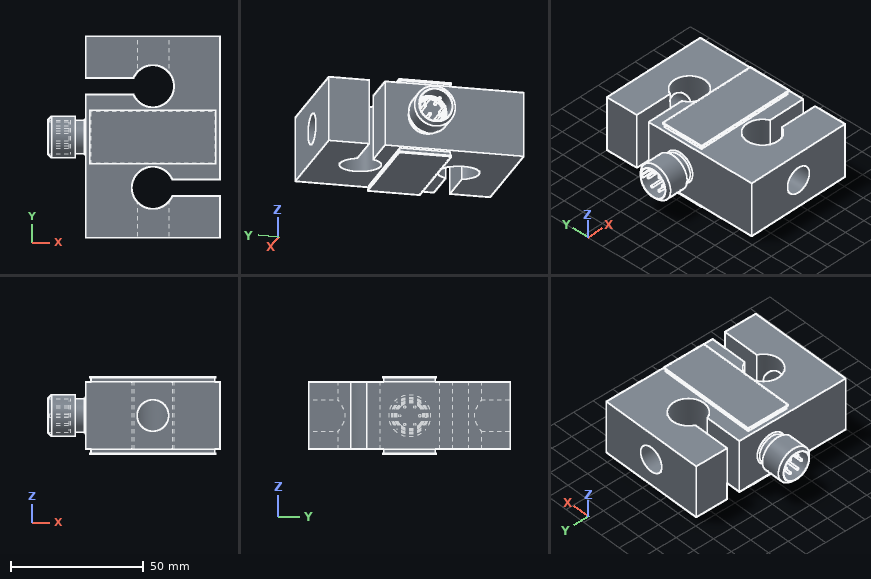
import cadquery as cq

block_x = 50.8
block_y = 76.2
block_z = 25.4

keyhole_offset = 19.2
keyhole_diameter = 15.875
slot_width = 6.2

mount_diameter = 11.9

overall_z = 29.37
cover_height = (overall_z - block_z) / 2
lid_x = 47.625
lid_y = 20.4
lid_thickness = 0.5
core_inset = 0.4

overall_x = 65.09
base_x = -block_x / 2
tip_x = block_x / 2 - overall_x
flange_radius = 7.0
flange_length = 0.6
neck_radius = 6.35
neck_length = 3.95
shell_radius = 7.94
shell_chamfer = 1.35

socket_radius = 6.4
socket_depth = 8.5
floor_x = tip_x + socket_depth
seal_radius = 5.35
seal_base_width = 0.9
seal_crest_width = 0.3
seal_height = 0.6

key_width = 1.5
key_height = 0.55
key_recess = 0.5
key_root = 0.2

pin_count = 6
pin_circle_radius = 3.8
pin_diameter = 0.9
pin_recess = 1.3


def make_block():
    return cq.Workplane("XY").box(block_x, block_y, block_z)


def make_keyhole(side):
    """Keyhole at y = side * offset whose slot opens toward x = -side."""
    y_centre = side * keyhole_offset
    hole = cq.Workplane("XY").center(0, y_centre).circle(keyhole_diameter / 2)
    hole = hole.extrude(block_z / 2, both=True)
    slot_centre_x = -side * block_x / 4
    slot = cq.Workplane("XY").center(slot_centre_x, y_centre).rect(block_x / 2, slot_width)
    return hole.union(slot.extrude(block_z / 2, both=True))


def make_mount_hole(side):
    """Round hole from the end face at y = side * block_y / 2 to the keyhole centre."""
    depth = block_y / 2 - keyhole_offset
    hole = cq.Workplane("XZ", origin=(0, side * block_y / 2, 0)).circle(mount_diameter / 2)
    return hole.extrude(side * depth)


def make_cover():
    """Top cover plate; the bottom one is its mirror image."""
    core = cq.Workplane("XY", origin=(0, 0, block_z / 2))
    core = core.rect(lid_x - 2 * core_inset, lid_y - 2 * core_inset).extrude(cover_height)
    lid = cq.Workplane("XY", origin=(0, 0, overall_z / 2))
    lid = lid.rect(lid_x, lid_y).extrude(-lid_thickness)
    return core.union(lid)


def make_shell():
    """Connector shell revolved about X, with its socket and sealing ring."""
    profile = (
        cq.Workplane("XY")
        .moveTo(base_x, 0)
        .lineTo(base_x, flange_radius)
        .lineTo(base_x - flange_length, neck_radius)
        .lineTo(base_x - neck_length, neck_radius)
        .lineTo(base_x - neck_length, shell_radius)
        .lineTo(tip_x + shell_chamfer, shell_radius)
        .lineTo(tip_x, shell_radius - shell_chamfer)
        .lineTo(tip_x, socket_radius)
        .lineTo(floor_x, socket_radius)
        .lineTo(floor_x, seal_radius + seal_base_width / 2)
        .lineTo(floor_x - seal_height, seal_radius + seal_crest_width / 2)
        .lineTo(floor_x - seal_height, seal_radius - seal_crest_width / 2)
        .lineTo(floor_x, seal_radius - seal_base_width / 2)
        .lineTo(floor_x, 0)
        .close()
    )
    return profile.revolve(360, (0, 0, 0), (1, 0, 0))


def make_key():
    """Polarising key, running from just inside the tip to the socket floor."""
    key_start_x = tip_x + key_recess
    key_centre_y = socket_radius + (key_root - key_height) / 2
    key = cq.Workplane("YZ", origin=(key_start_x, key_centre_y, 0))
    return key.rect(key_height + key_root, key_width).extrude(floor_x - key_start_x)


def make_pins():
    """Ring of contact pins, ending a little inside the tip."""
    pin_end_x = tip_x + pin_recess
    pins = cq.Workplane("YZ", origin=(pin_end_x, 0, 0))
    pins = pins.polarArray(pin_circle_radius, 0, 360, pin_count).circle(pin_diameter / 2)
    return pins.extrude(floor_x - pin_end_x)


result = make_block()
for side in (-1, 1):
    result = result.cut(make_keyhole(side)).cut(make_mount_hole(side))

cover = make_cover()
result = result.union(cover).union(cover.mirror("XY"))
result = result.union(make_shell()).union(make_key()).union(make_pins())